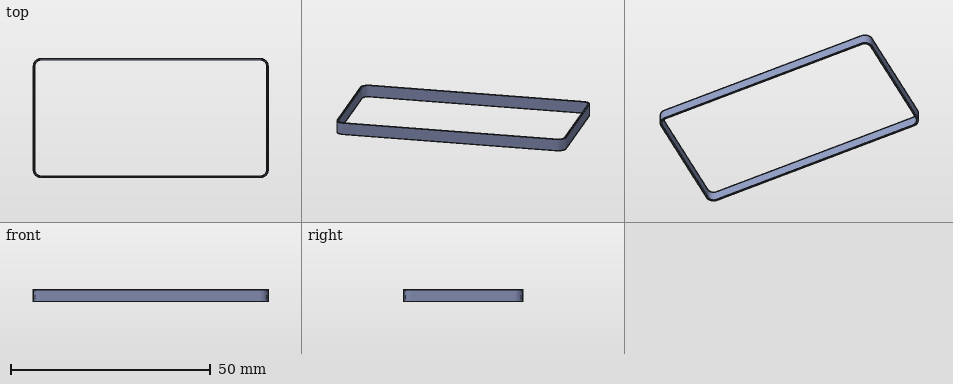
import cadquery as cq

length = 58.8
width = 29.8
height = 3.0

wall = 0.4
outer_radius = 2.0
inner_radius = outer_radius - wall


def rounded_block(size_x, size_y, corner_radius):
    """Full-height block with rounded vertical edges."""
    return cq.Workplane("XY").box(size_x, size_y, height).edges("|Z").fillet(corner_radius)


outer_block = rounded_block(length, width, outer_radius)
opening = rounded_block(length - 2 * wall, width - 2 * wall, inner_radius)

result = outer_block.cut(opening)